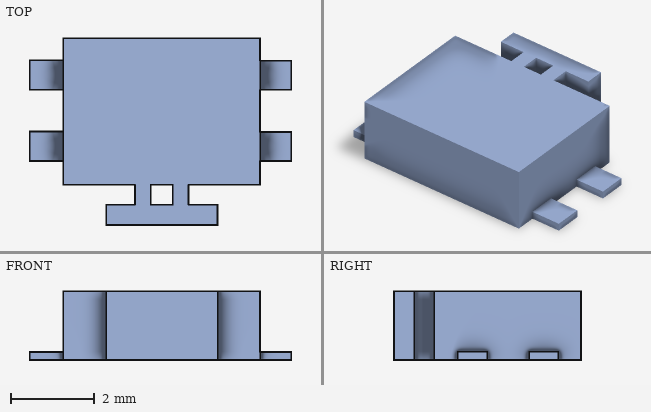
import cadquery as cq

body_length = 4.7
body_depth = 3.5
height = 1.65

terminal_thickness = 0.2
left_terminal_reach = 0.8
right_terminal_reach = 0.75
left_terminal_width = 0.71
right_terminal_width = 0.7
front_terminal_start = 0.56
rear_terminal_start = 2.26

button_length = 2.66
button_thickness = 0.49
button_gap = 0.475
button_start = 1.025
stem_width = 0.38
stem_starts = (1.71, 2.61)


def block(x, y, x_size, y_size, z_size):
    """Box standing on the base plane with its lowest corner at (x, y)."""
    return cq.Workplane("XY").box(x_size, y_size, z_size, centered=False).translate((x, y, 0))


result = block(0, 0, body_length, body_depth, height)

for terminal_y in (front_terminal_start, rear_terminal_start):
    left_terminal = block(
        -left_terminal_reach, terminal_y, left_terminal_reach, left_terminal_width, terminal_thickness
    )
    right_terminal = block(
        body_length, terminal_y, right_terminal_reach, right_terminal_width, terminal_thickness
    )
    result = result.union(left_terminal).union(right_terminal)

button = block(button_start, -button_gap - button_thickness, button_length, button_thickness, height)
result = result.union(button)

for stem_x in stem_starts:
    result = result.union(block(stem_x, -button_gap, stem_width, button_gap, height))